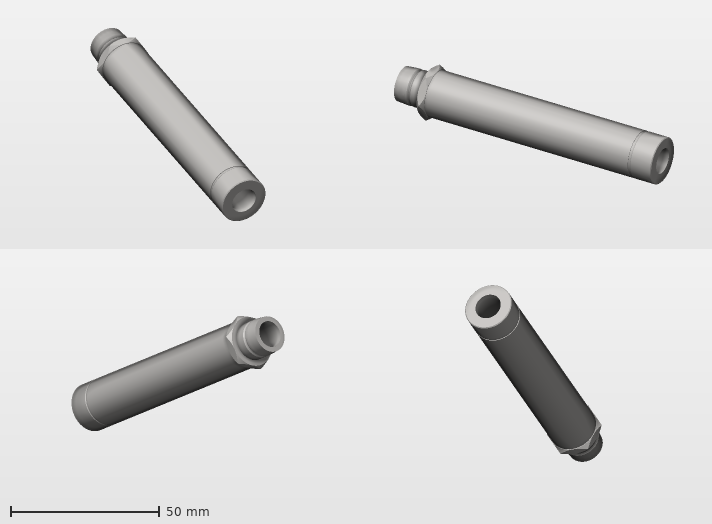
import cadquery as cq
import math

length = 100.0

spigot_radius = 6.5
tip_radius = 6.2
taper_end = 4.1
lip_end = 4.9
neck_radius = 6.0
neck_start = 5.5
neck_end = 5.8
shoulder_start = 6.4

hex_start = 10.0
hex_width = 3.0
hex_across_flats = 17.0
hex_end = hex_start + hex_width
hex_across_corners = hex_across_flats / math.cos(math.pi / 6)

barrel_radius = 8.3
groove_radius = 8.1
groove_start = 91.1
groove_end = 91.9
groove_ramp = 0.3
end_chamfer = 0.3

bore_radius = 4.5


def revolve_about_x(profile):
    """Revolve (x, radius) points, closed along the X axis, into a solid."""
    first_x = profile[0][0]
    last_x = profile[-1][0]
    outline = [(first_x, 0), *profile, (last_x, 0)]
    return cq.Workplane("XY").polyline(outline).close().revolve(360, (0, 0, 0), (1, 0, 0))


def make_spigot():
    """Tapered tip with a lip and a narrow neck, ending inside the collar."""
    return revolve_about_x([
        (0, tip_radius),
        (taper_end, spigot_radius),
        (lip_end, spigot_radius),
        (neck_start, neck_radius),
        (neck_end, neck_radius),
        (shoulder_start, spigot_radius),
        (hex_end, spigot_radius),
    ])


def make_collar():
    """Hexagon with flats facing +Z and -Z, its corners turned to a ridge at mid-width."""
    hexagon = (
        cq.Workplane("YZ", origin=(hex_start, 0, 0))
        .polygon(6, hex_across_corners)
        .extrude(hex_width)
    )
    corner_envelope = revolve_about_x([
        (hex_start, hex_across_flats / 2),
        (hex_start + hex_width / 2, hex_across_corners / 2),
        (hex_end, hex_across_flats / 2),
    ])
    return hexagon.intersect(corner_envelope)


def make_barrel():
    """Long cylinder with a shallow groove near its chamfered +X end."""
    return revolve_about_x([
        (hex_start, barrel_radius),
        (groove_start, barrel_radius),
        (groove_start, groove_radius),
        (groove_end, groove_radius),
        (groove_end + groove_ramp, barrel_radius),
        (length - end_chamfer, barrel_radius),
        (length, barrel_radius - end_chamfer),
    ])


def make_bore():
    """Straight bore through the full length."""
    return cq.Workplane("YZ").circle(bore_radius).extrude(length)


result = make_spigot().union(make_collar()).union(make_barrel()).cut(make_bore())